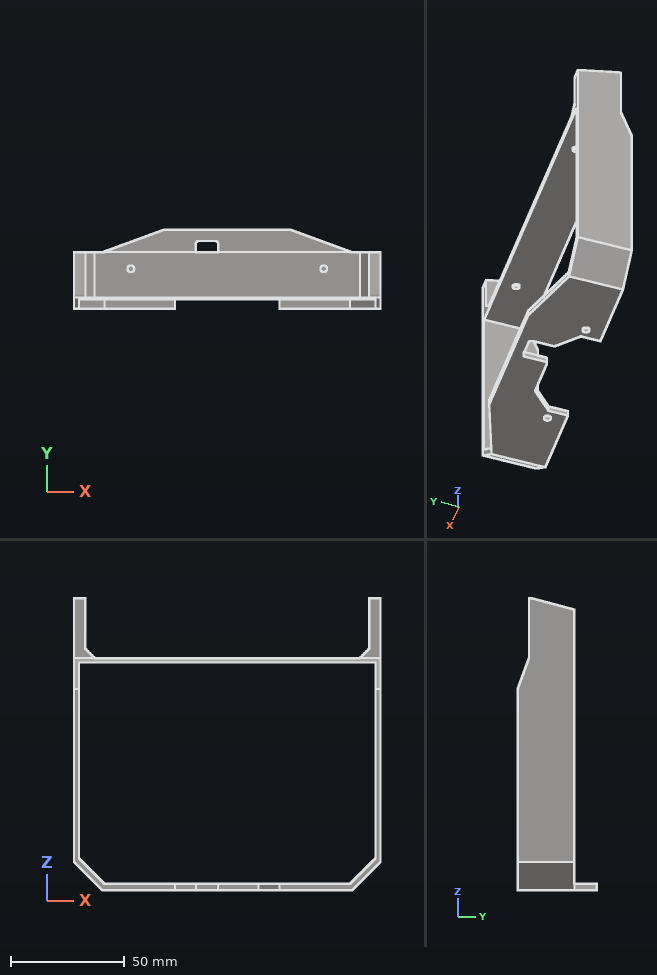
import cadquery as cq
import math

width = 135.0
depth = 25.0
height = 128.5
half_width = width / 2

side_wall = 2.3
base_thickness = 3.0
crossbar_top = 102.2
crossbar_thickness = 2.0
corner_outer = 12.5
corner_inner = 11.2

post_thickness = 5.1
gusset_width = 4.0
gusset_height = 4.0

front_setback = 5.0
setback_start = 88.5
post_flat = 1.4
post_top_angle = 15.0

tongue_length = 10.0
tongue_half_tip = 27.7
recess_half_mouth = 23.0
recess_bevel = 9.2
recess_depth = 18.2
slot_left = -13.8
slot_right = -4.0
slot_back = depth + 4.9
slot_fillet = 1.1

hole_diameter = 3.0
crossbar_hole_x = 42.4
crossbar_hole_y = 17.7
base_hole_x = 27.3
base_hole_y = 8.1

inner_half = half_width - side_wall
outer_corner_x = half_width - corner_outer


def make_frame():
    """Extrude the front outline, open it, and trim it to the side profile."""
    post_inner = half_width - post_thickness
    gusset_end = post_inner - gusset_width
    outer_half = [
        (outer_corner_x, 0),
        (half_width, corner_outer),
        (half_width, height),
        (post_inner, height),
        (post_inner, crossbar_top + gusset_height),
        (gusset_end, crossbar_top),
    ]
    opening_half = [
        (inner_half - corner_inner, base_thickness),
        (inner_half, base_thickness + corner_inner),
        (inner_half, crossbar_top - crossbar_thickness),
    ]

    def mirrored_prism(half):
        outline = half + [(-x, z) for x, z in reversed(half)]
        return cq.Workplane("XZ").polyline(outline).close().extrude(-depth)

    flat_end = front_setback + post_flat
    back_top = height - (depth - flat_end) * math.tan(math.radians(post_top_angle))
    side_profile = (
        cq.Workplane("YZ")
        .polyline([
            (0, 0),
            (depth, 0),
            (depth, back_top),
            (flat_end, height),
            (front_setback, height),
            (front_setback, crossbar_top),
            (0, setback_start),
        ])
        .close()
        .extrude(half_width, both=True)
    )
    return mirrored_prism(outer_half).cut(mirrored_prism(opening_half)).intersect(side_profile)


def make_tongue():
    """Tapered extension of the base behind the frame."""
    return (
        cq.Workplane("XY")
        .polyline([
            (-outer_corner_x, depth),
            (outer_corner_x, depth),
            (tongue_half_tip, depth + tongue_length),
            (-tongue_half_tip, depth + tongue_length),
        ])
        .close()
        .extrude(base_thickness)
    )


def make_recess():
    """Bevelled front recess of the base, with a slot reaching into the tongue."""
    bevel_start = recess_depth - recess_bevel
    recess_half_back = recess_half_mouth - recess_bevel
    return (
        cq.Workplane("XY")
        .moveTo(-recess_half_mouth, 0)
        .lineTo(-recess_half_mouth, bevel_start)
        .lineTo(slot_left, recess_depth)
        .lineTo(slot_left, slot_back - slot_fillet)
        .radiusArc((slot_left + slot_fillet, slot_back), slot_fillet)
        .lineTo(slot_right - slot_fillet, slot_back)
        .radiusArc((slot_right, slot_back - slot_fillet), slot_fillet)
        .lineTo(slot_right, recess_depth + slot_fillet)
        .radiusArc((slot_right + slot_fillet, recess_depth), -slot_fillet)
        .lineTo(recess_half_back, recess_depth)
        .lineTo(recess_half_mouth, bevel_start)
        .lineTo(recess_half_mouth, 0)
        .close()
        .extrude(base_thickness)
    )


def make_hole_pair(x, y, bottom, thickness):
    """Two vertical pins, mirrored about the centre, for cutting through holes."""
    return (
        cq.Workplane("XY", origin=(0, 0, bottom))
        .pushPoints([(-x, y), (x, y)])
        .circle(hole_diameter / 2)
        .extrude(thickness)
    )


result = make_frame().union(make_tongue()).cut(make_recess())
result = result.cut(make_hole_pair(base_hole_x, base_hole_y, 0, base_thickness))
result = result.cut(make_hole_pair(
    crossbar_hole_x, crossbar_hole_y, crossbar_top - crossbar_thickness, crossbar_thickness))